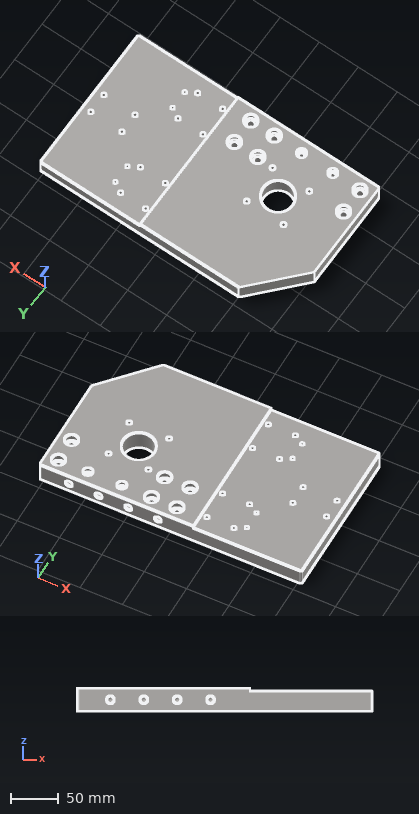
import cadquery as cq


length = 310.0
width = 180.0
thickness = 25.0
corner_cut_x = 55.0
corner_cut_y = 60.0
corner_radius = 2.2
edge_chamfer = 1.0
step_x = 181.7
step_depth = 3.0
mid_y = width / 2

motor_x = 81.5
motor_y = 70.0
motor_bore = 36.0
motor_bore_chamfer = 1.0
motor_bolt_chamfer = 0.3
motor_bolt_pitch = 47.0
motor_bolt_diameter = 5.3

bolt_row_pitch = 30.0
bolt_edge_offset = bolt_row_pitch / 2
large_bolt_columns = (bolt_edge_offset, 125.0, 155.0)
large_bolt_diameter = 8.7
large_counterbore_diameter = 14.3
large_counterbore_depth = 9.0
large_counterbore_chamfer = 1.0
small_bolt_columns = (50.0, 90.0)
small_bolt_diameter = 6.0
small_counterbore_diameter = 10.5
small_counterbore_depth = 6.5
small_counterbore_chamfer = 0.45

rail_hole_diameter = 5.3
rail_pair_offset = 52.5
rail_hole_x = 188.0
rail_hole_pitch_x = 32.0
rail_hole_pitch_y = 36.0
dowel_diameter = 4.3
dowel_x = 231.5
dowel_pitch = 22.0
end_hole_x = 259.2
end_hole_pitch_x = 40.0
end_hole_pitch_y = 24.0

side_hole_count = 4
side_hole_pitch = 35.0
side_hole_z = thickness / 2
side_hole_diameter = 6.8
side_hole_depth = 20.0
side_hole_mouth_diameter = 9.0
drill_tip_depth = 2.0


def pair(center, pitch):
    """Two positions spread evenly about a center."""
    return (center - pitch / 2, center + pitch / 2)


def grid(columns, rows):
    """Every crossing of the given columns and rows."""
    return [(x, y) for x in columns for y in rows]


def through_holes(points, diameter):
    """Vertical cylinders that span the full plate thickness."""
    return cq.Workplane("XY").pushPoints(points).circle(diameter / 2).extrude(thickness)


def counterbores(points, diameter, depth):
    """Vertical cylinders sunk from the raised surface."""
    floor = cq.Workplane("XY", origin=(0, 0, thickness - depth))
    return floor.pushPoints(points).circle(diameter / 2).extrude(depth)


def mouth_chamfers(points, diameter, chamfer):
    """Cones that break the rims of holes in the raised surface."""
    radius = diameter / 2
    base = cq.Vector(0, 0, thickness - chamfer)
    cone = cq.Solid.makeCone(radius, radius + chamfer, chamfer, pnt=base)
    return cq.Workplane("XY").pushPoints(points).eachpoint(cone)


def plate():
    """Stepped plate with a cut corner and broken front, back and right edges."""
    outline = [
        (0, 0),
        (length, 0),
        (length, width),
        (corner_cut_x, width),
        (0, width - corner_cut_y),
    ]
    body = cq.Workplane("XY").polyline(outline).close().extrude(thickness)
    step = cq.Workplane("XY").box(length - step_x, width, step_depth, centered=False)
    body = body.cut(step.translate((step_x, 0, thickness - step_depth)))
    body = body.edges("|Z and >X").fillet(corner_radius)
    body = body.faces("<Y or >Y or >X").edges("not |Z").chamfer(edge_chamfer)
    corner = cq.Workplane("XY").box(length, width, thickness, centered=False)
    return body.intersect(corner.edges("|Z and <X and <Y").fillet(corner_radius))


def side_hole(x):
    """Blind hole along Y with a drill tip and a countersunk mouth."""
    radius = side_hole_diameter / 2
    mouth_radius = side_hole_mouth_diameter / 2
    profile = [
        (0, 0),
        (mouth_radius, 0),
        (radius, mouth_radius - radius),
        (radius, side_hole_depth),
        (0, side_hole_depth + drill_tip_depth),
    ]
    hole = cq.Workplane("XY").polyline(profile).close().revolve(360, (0, 0, 0), (0, 1, 0))
    return hole.translate((x, 0, side_hole_z))


result = plate()

motor_center = [(motor_x, motor_y)]
motor_bolts = grid(pair(motor_x, motor_bolt_pitch), pair(motor_y, motor_bolt_pitch))
result = result.cut(through_holes(motor_center, motor_bore))
result = result.cut(mouth_chamfers(motor_center, motor_bore, motor_bore_chamfer))
result = result.cut(through_holes(motor_bolts, motor_bolt_diameter))
result = result.cut(mouth_chamfers(motor_bolts, motor_bolt_diameter, motor_bolt_chamfer))

large_bolts = grid(large_bolt_columns, (bolt_edge_offset, bolt_edge_offset + bolt_row_pitch))
result = result.cut(through_holes(large_bolts, large_bolt_diameter))
result = result.cut(counterbores(large_bolts, large_counterbore_diameter, large_counterbore_depth))
result = result.cut(mouth_chamfers(large_bolts, large_counterbore_diameter, large_counterbore_chamfer))
small_bolts = grid(small_bolt_columns, (bolt_edge_offset,))
result = result.cut(through_holes(small_bolts, small_bolt_diameter))
result = result.cut(counterbores(small_bolts, small_counterbore_diameter, small_counterbore_depth))
result = result.cut(mouth_chamfers(small_bolts, small_counterbore_diameter, small_counterbore_chamfer))

rail_columns = (rail_hole_x, rail_hole_x + rail_hole_pitch_x)
for rail_y in pair(mid_y, 2 * rail_pair_offset):
    rail_holes = grid(rail_columns, pair(rail_y, rail_hole_pitch_y))
    dowels = grid((dowel_x,), pair(rail_y, dowel_pitch))
    result = result.cut(through_holes(rail_holes, rail_hole_diameter))
    result = result.cut(through_holes(dowels, dowel_diameter))
end_columns = (end_hole_x, end_hole_x + end_hole_pitch_x)
end_holes = grid(end_columns, pair(mid_y, end_hole_pitch_y))
result = result.cut(through_holes(end_holes, rail_hole_diameter))

for index in range(side_hole_count):
    result = result.cut(side_hole((index + 1) * side_hole_pitch))